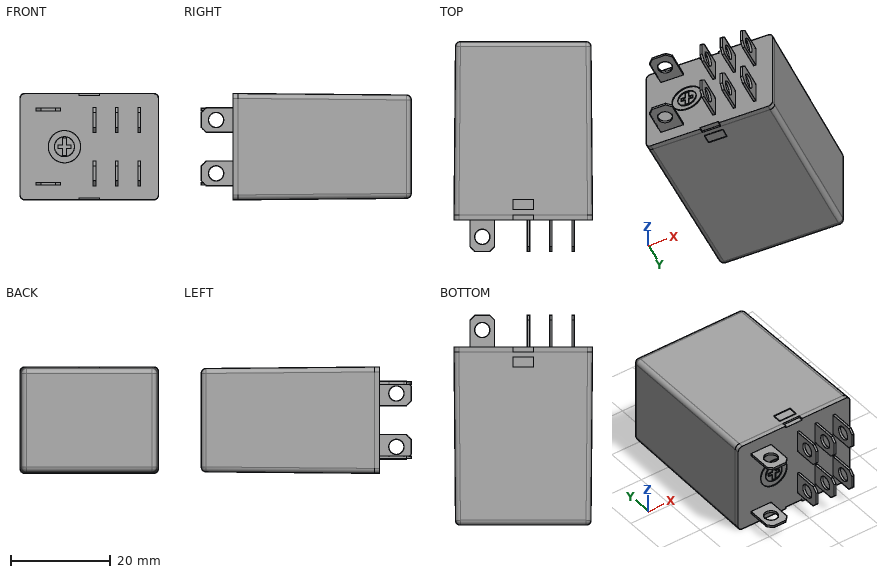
import cadquery as cq

body_width = 28.0
body_height = 21.5
total_length = 42.4
tab_length = 6.4
body_length = total_length - tab_length
rim_length = 1.0
draft_angle = 0.5
edge_radius = 1.0

latch_width = 4.05
notch_depth = 0.42
window_start = 2.08
window_length = 2.05
window_depth = 0.2

tab_width = 5.0
tab_thickness = 0.5
tab_chamfer = 1.0
tab_hole_diameter = 3.0
tab_hole_to_tip = 3.0

upright_tab_first_x = 1.05
upright_tab_pitch = 4.5
upright_tab_columns = 3
upright_tab_z = 5.4
flat_tab_x = -8.25
flat_tab_z = 7.5

screw_x = -5.0
groove_outer_diameter = 6.55
screw_head_diameter = 4.03
screw_cut_depth = 0.2
cross_upright = (0.85, 3.55)
cross_level = (2.65, 0.68)


def make_housing():
    """Straight rim plus a tapered shell, with rounded long edges and closed end."""
    rim = cq.Workplane("XZ").rect(body_width, body_height).extrude(-rim_length)
    shell = (
        cq.Workplane("XZ", origin=(0, rim_length, 0))
        .rect(body_width, body_height)
        .extrude(-(body_length - rim_length), taper=draft_angle)
    )
    rim = rim.edges("|Y").fillet(edge_radius)
    shell = shell.edges("not(#Y)").fillet(edge_radius)
    shell = shell.faces(">Y").edges().fillet(edge_radius)
    return rim.union(shell)


def make_latch_cuts(side):
    """Open rim notch and closed window on the upper (side = 1) or lower (side = -1) face."""
    half_height = body_height / 2
    notch = cq.Workplane("XY").box(latch_width, 2 * rim_length, 2 * notch_depth)
    window = cq.Workplane("XY").box(latch_width, window_length, 2 * window_depth)
    window_middle = window_start + window_length / 2
    return notch.union(window.translate((0, window_middle, 0))).translate((0, 0, side * half_height))


def make_flat_tab():
    """Horizontal tab centred on the Y axis, pointing toward -Y, with a hole and cut corners."""
    return (
        cq.Workplane("XY")
        .box(tab_width, tab_length, tab_thickness)
        .translate((0, -tab_length / 2, 0))
        .edges("|Z and <Y")
        .chamfer(tab_chamfer)
        .cut(
            cq.Workplane("XY")
            .center(0, tab_hole_to_tip - tab_length)
            .circle(tab_hole_diameter / 2)
            .extrude(tab_thickness, both=True)
        )
    )


def make_screw_cuts():
    """Ring groove around the screw head and the cross slot in the head."""
    face = cq.Workplane("XZ", origin=(screw_x, 0, 0))
    cuts = (
        face.circle(groove_outer_diameter / 2)
        .circle(screw_head_diameter / 2)
        .extrude(-screw_cut_depth)
    )
    for bar_size in (cross_upright, cross_level):
        cuts = cuts.union(face.rect(*bar_size).extrude(-screw_cut_depth))
    return cuts


result = make_housing().cut(make_screw_cuts())

flat_tab = make_flat_tab()
upright_tab = flat_tab.rotate((0, 0, 0), (0, 1, 0), 90)
for side in (1, -1):
    result = result.cut(make_latch_cuts(side))
    result = result.union(flat_tab.translate((flat_tab_x, 0, side * flat_tab_z)))
    for column in range(upright_tab_columns):
        column_x = upright_tab_first_x + column * upright_tab_pitch
        result = result.union(upright_tab.translate((column_x, 0, side * upright_tab_z)))